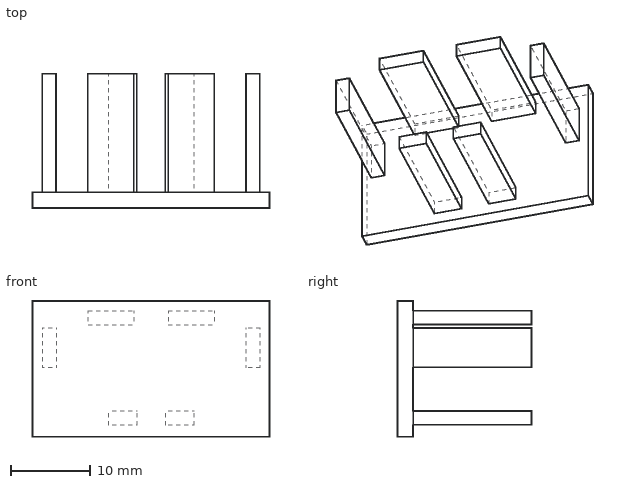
import cadquery as cq

plate_width = 30.0
plate_height = 17.2
plate_thickness = 2.0

prong_length = 15.0
prong_thickness = 1.77
edge_inset = 1.23

side_prong_height = 4.98
side_prong_top_gap = 3.42

upper_prong_width = 5.85
upper_prong_gap = 4.35

lower_prong_width = 3.6
lower_prong_gap = 3.6
lower_prong_inset = 1.5

side_prong_x = plate_width / 2 - edge_inset - prong_thickness / 2
side_prong_z = plate_height / 2 - side_prong_top_gap - side_prong_height / 2
upper_prong_x = (upper_prong_gap + upper_prong_width) / 2
upper_prong_z = plate_height / 2 - edge_inset - prong_thickness / 2
lower_prong_x = (lower_prong_gap + lower_prong_width) / 2
lower_prong_z = -plate_height / 2 + lower_prong_inset + prong_thickness / 2


def block(width, length, height):
    """Block centered in X and Z that grows from Y = 0 toward +Y."""
    return cq.Workplane("XY").box(width, length, height, centered=(True, False, True))


def prong(x_center, z_center, width, height):
    """Straight prong that starts at the back face of the plate."""
    return block(width, prong_length, height).translate((x_center, plate_thickness, z_center))


result = block(plate_width, plate_thickness, plate_height)

for side in (-1, 1):
    side_prong = prong(side * side_prong_x, side_prong_z, prong_thickness, side_prong_height)
    upper_prong = prong(side * upper_prong_x, upper_prong_z, upper_prong_width, prong_thickness)
    lower_prong = prong(side * lower_prong_x, lower_prong_z, lower_prong_width, prong_thickness)
    result = result.union(side_prong).union(upper_prong).union(lower_prong)